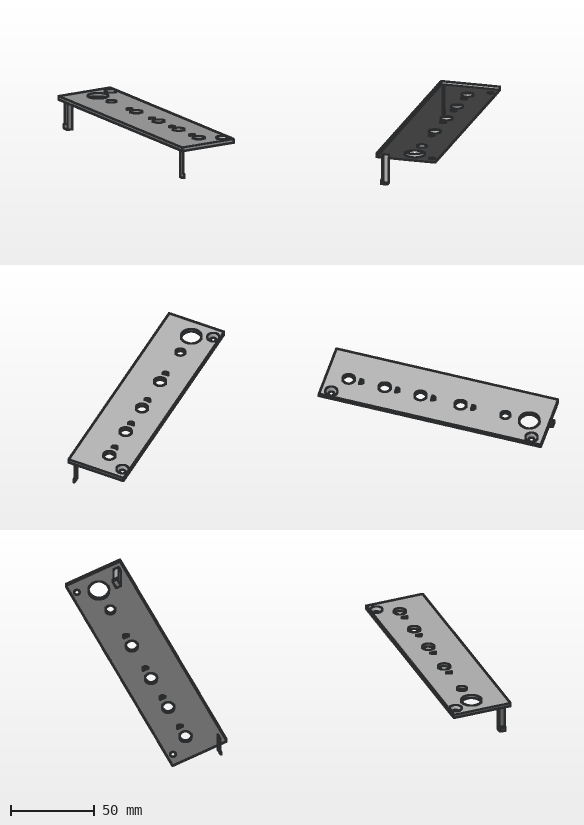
import cadquery as cq

length = 138.6
width = 36.5
height = 20.0
thickness = 2.2
end_slant = 0.4
top_length = length - end_slant

hole_row_y = 20.4
large_hole_x = 11.9
large_hole_diameter = 12.3
small_hole_x = 26.9
small_hole_diameter = 6.0
round_hole_xs = (54.7, 79.7, 102.0, 124.5)
round_hole_diameter = 7.3

window_diameter = 3.6
window_depth = 2.2
window_flat_offset = 6.9

screw_xs = (6.9, length - 6.9)
screw_y = 32.5
screw_hole_diameter = 3.2
countersink_diameter = 7.3

leg_inset = 3.0
leg_depth = 3.3
leg_y = 2.5
left_leg_width = 3.3
right_leg_width = 0.3
leg_length = height - thickness
hook_reach = 1.4
hook_height = 2.9
hook_slant = 0.4


def make_plate():
    """Flat plate with one slightly slanted end."""
    profile = [(0, 0), (length, 0), (top_length, thickness), (0, thickness)]
    return cq.Workplane("XZ").polyline(profile).close().extrude(-width)


def make_leg(leg_width):
    """Leg at the -X end, of the given width along Y, with an outward hook at its foot."""
    outer = leg_inset
    inner = leg_inset + leg_depth
    tip = leg_inset - hook_reach
    foot = -leg_length
    hook_top = foot + hook_height
    profile = [
        (outer, 0),
        (inner, 0),
        (inner, foot),
        (outer, foot),
        (tip, foot + hook_slant),
        (tip, hook_top - hook_slant),
        (outer, hook_top),
    ]
    leg = cq.Workplane("XZ").polyline(profile).close().extrude(-leg_width)
    return leg.translate((0, leg_y, 0))


def make_hole(x, diameter):
    """Cutter for a round through hole in the hole row."""
    return cq.Workplane("XY").center(x, hole_row_y).circle(diameter / 2).extrude(thickness)


def make_window(flat_x):
    """Cutter for a D-shaped window: a disc trimmed flat on its +X side."""
    disc = make_hole(flat_x - window_depth + window_diameter / 2, window_diameter)
    keep = cq.Workplane("XY").box(window_depth, window_diameter, thickness, centered=(False, True, False))
    return disc.intersect(keep.translate((flat_x - window_depth, hole_row_y, 0)))


def make_countersink(x):
    """Conical cutter, narrow at the underside and wide at the top."""
    cone = cq.Solid.makeCone(screw_hole_diameter / 2, countersink_diameter / 2, thickness)
    return cone.translate(cq.Vector(x, screw_y, 0))


left_leg = make_leg(left_leg_width)
right_leg = make_leg(right_leg_width).mirror("YZ", (top_length / 2, 0, 0))
result = make_plate().union(left_leg).union(right_leg)

result = result.cut(make_hole(large_hole_x, large_hole_diameter))
result = result.cut(make_hole(small_hole_x, small_hole_diameter))
for hole_x in round_hole_xs:
    result = result.cut(make_hole(hole_x, round_hole_diameter))
    result = result.cut(make_window(hole_x - window_flat_offset))
for screw_x in screw_xs:
    result = result.cut(make_countersink(screw_x))